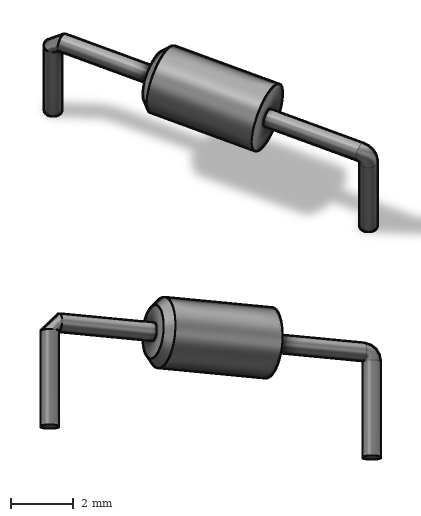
import cadquery as cq


overall_length = 11.75
overall_height = 4.56
body_diameter = 2.28
body_length = 4.0
body_chamfer = 0.285
lead_diameter = 0.6
bend_angle = 90

body_radius = body_diameter / 2
lead_radius = lead_diameter / 2
body_end_x = body_length / 2
bend_x = overall_length / 2 - lead_diameter
leg_axis_x = bend_x + lead_radius
leg_top_z = -lead_radius
leg_bottom_z = body_radius - overall_height


def make_body():
    """Cylindrical body, chamfered on its -X end."""
    return (
        cq.Workplane("YZ", origin=(-body_end_x, 0, 0))
        .circle(body_radius)
        .extrude(body_length)
        .faces("<X")
        .chamfer(body_chamfer)
    )


def make_straight_run(side):
    """Horizontal wire from the body to the bend; side is -1 towards -X and 1 towards +X."""
    return (
        cq.Workplane("YZ", origin=(side * body_end_x, 0, 0))
        .circle(lead_radius)
        .extrude(side * (bend_x - body_end_x))
    )


def make_leg(side):
    """Vertical wire from its free end up to the bend."""
    return (
        cq.Workplane("XY", origin=(side * leg_axis_x, 0, leg_bottom_z))
        .circle(lead_radius)
        .extrude(leg_top_z - leg_bottom_z)
    )


def run_end_plane(side):
    """Plane across the outer end of the straight run, with its local x axis pointing down."""
    return cq.Plane(origin=(side * bend_x, 0, 0), xDir=(0, 0, -1), normal=(1, 0, 0))


def make_slanted_bend():
    """Oblique cylinder at 45 degrees from the straight run to the leg of the -X lead."""
    run_end = cq.Workplane(run_end_plane(-1)).circle(lead_radius).wire().val()
    slant = cq.Vector(-lead_diameter, 0, -lead_diameter)
    oblique_wire = cq.Workplane(cq.Solid.extrudeLinear(run_end, [], slant))

    trim_size = 2 * lead_diameter
    above_leg = (
        cq.Workplane("XY", origin=(-leg_axis_x, 0, leg_top_z))
        .rect(trim_size, trim_size)
        .extrude(trim_size)
    )
    return oblique_wire.intersect(above_leg)


def make_round_bend():
    """Quarter turn of the wire section about the inner corner of the +X lead."""
    return (
        cq.Workplane(run_end_plane(1))
        .circle(lead_radius)
        .revolve(bend_angle, (lead_radius, 0, 0), (lead_radius, 1, 0))
    )


def make_lead(side, bend):
    """One wire: straight run, bend and leg as a single solid."""
    return make_straight_run(side).union(bend).union(make_leg(side))


body = make_body()
slanted_lead = make_lead(-1, make_slanted_bend())
round_lead = make_lead(1, make_round_bend())

result = cq.Compound.makeCompound(
    [body.solids().val(), slanted_lead.solids().val(), round_lead.solids().val()]
)